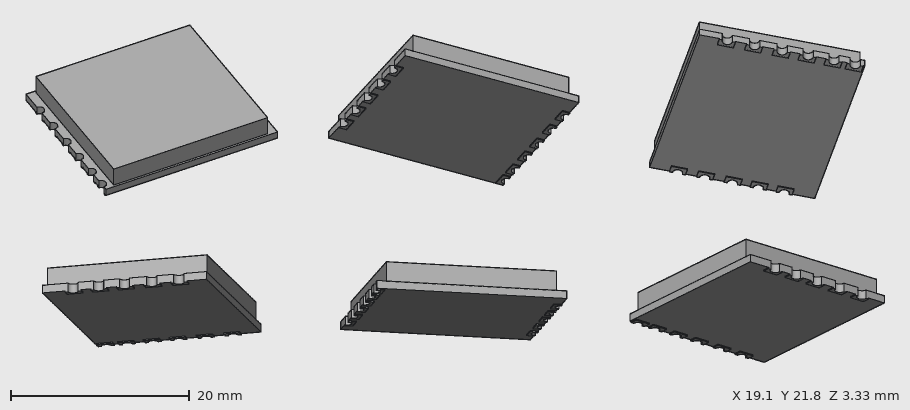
import cadquery as cq

board_width = 19.15
board_length = 21.75
board_thickness = 0.9

can_width = 18.62
can_length = 19.5
total_height = 3.33

pad_width = 1.87
pad_length = 0.91
pad_thickness = 0.13
notch_radius = 0.59

back_contacts = [-6.35, -3.2, 0.0, 3.0, 6.0]
front_contacts = back_contacts + [8.45]

can_height = total_height - pad_thickness - board_thickness
edge_y = board_length / 2


def box_on(width, length, height, base_z, x=0.0, y=0.0):
    """Box centred at (x, y) that rises from base_z."""
    box = cq.Workplane("XY").box(width, length, height, centered=(True, True, False))
    return box.translate((x, y, base_z))


def solder_pad(x, side):
    """Pad flush with the board edge; side is -1 for front, +1 for back."""
    y = side * (edge_y - pad_length / 2)
    return box_on(pad_width, pad_length, pad_thickness, 0, x, y)


def edge_notch(x, side):
    """Cylinder on the board edge that cuts through the board and its pad."""
    height = pad_thickness + board_thickness
    return cq.Workplane("XY").center(x, side * edge_y).circle(notch_radius).extrude(height)


board = box_on(board_width, board_length, board_thickness, pad_thickness)
can = box_on(can_width, can_length, can_height, pad_thickness + board_thickness)
result = board.union(can)

for side, contacts in ((-1, front_contacts), (1, back_contacts)):
    for contact_x in contacts:
        result = result.union(solder_pad(contact_x, side))
        result = result.cut(edge_notch(contact_x, side))